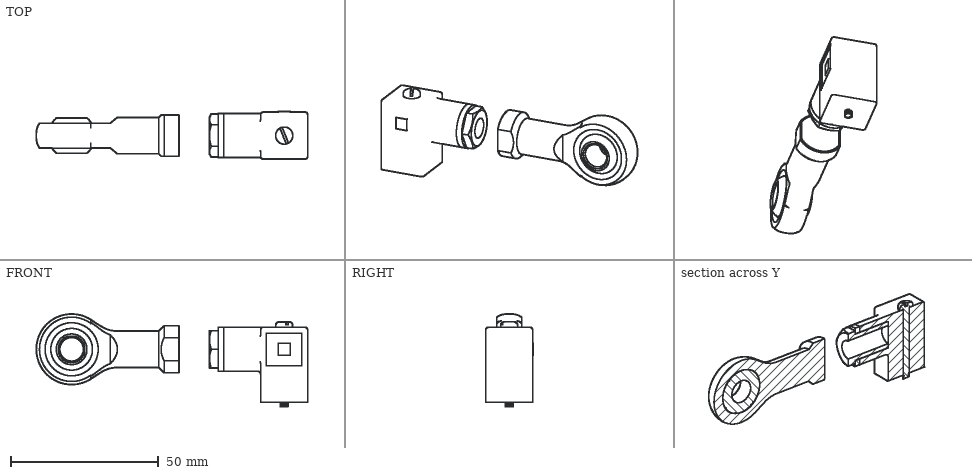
import cadquery as cq
import math

head_radius = 12.0
head_thickness = 8.5
head_band_width = 1.6
head_face_radius = 10.9
neck_radius = 6.2
neck_flare_radius = 10.0
flare_angle = 57.0
shank_flat_end = 13.1
shank_ramp_end = 15.5
collar_start = 29.5
collar_radius = 8.0
collar_across_flats = 14.0
rod_end_face = 36.5
end_chamfer_length = 0.5
end_chamfer_depth = 0.2

ball_radius = 7.94
ball_width = 12.0
ball_bore_radius = 4.0
ball_bore_chamfer = 0.5
dish_outer_radius = 9.0
dish_inner_radius = 7.07

box_left = 64.0
box_length = 16.0
box_width = 16.0
box_top = 7.5
box_bottom = -18.0
box_edge_radius = 1.0
entry_radius = 7.49
entry_blend_radius = 1.0
ring_start = 49.6
ring_length = 2.0
nut_length = 3.0
nut_across_flats = 12.7
nut_face_radius = 6.15
nut_chamfer_angle = 30.0
nut_sleeve_radius = 5.0
cable_bore_radius = 3.4

panel_length = 12.0
panel_height = 11.0
panel_depth = 0.4
window_size = 4.1
window_thickness = 2.0
window_protrusion = 0.2

screw_head_radius = 2.9
screw_rim_height = 0.5
screw_head_height = 1.8
screw_crown_radius = 1.9
slot_width = 0.8
slot_depth = 1.0
slot_angle = 112.0
screw_shank_radius = 1.3
screw_tip = -19.45
thread_pitch = 0.8
thread_depth = 0.25
thread_groove_width = 0.4
thread_length = 2.4

tolerance = 0.01

half_head = head_thickness / 2
half_band = head_band_width / 2
box_centre_x = box_left + box_length / 2
box_height = box_top - box_bottom
entry_start = ring_start + ring_length
nut_start = ring_start - nut_length
dish_depth = half_head - math.sqrt(ball_radius**2 - dish_inner_radius**2)


def x_cylinder(start, end, radius):
    """Cylinder along the X axis."""
    plane = cq.Plane(origin=(start, 0, 0), xDir=(0, 0, 1), normal=(1, 0, 0))
    return cq.Workplane(plane).circle(radius).extrude(end - start)


def head_disc():
    """Disc around Y whose rim is a middle band with a tangent arc down to each face."""
    drop = head_radius - head_face_radius
    run = half_head - half_band
    rim_radius = (run**2 + drop**2) / (2 * drop)
    half_turn = math.asin(run / rim_radius) / 2
    mid_r = head_radius - rim_radius * (1 - math.cos(half_turn))
    mid_y = half_band + rim_radius * math.sin(half_turn)
    profile = (
        cq.Workplane("XY")
        .moveTo(0, -half_head)
        .lineTo(head_face_radius, -half_head)
        .threePointArc((mid_r, -mid_y), (head_radius, -half_band))
        .lineTo(head_radius, half_band)
        .threePointArc((mid_r, mid_y), (head_face_radius, half_head))
        .lineTo(0, half_head)
        .close()
    )
    return profile.revolve(360, (0, 0, 0), (0, 1, 0))


def shank():
    """Neck, flare towards the head and end collar, revolved about X."""
    angle = math.radians(flare_angle)
    flare_start = (head_radius * math.cos(angle), head_radius * math.sin(angle))
    slope = (math.sin(angle), -math.cos(angle))
    centre_r = neck_radius + neck_flare_radius
    blend_r = centre_r - neck_flare_radius * math.sin(angle)
    flank = (flare_start[1] - blend_r) / -slope[1]
    blend_x = flare_start[0] + flank * slope[0]
    centre_x = blend_x + neck_flare_radius * math.cos(angle)
    middle = (math.pi / 2 + angle) / 2
    blend_middle = (
        centre_x - neck_flare_radius * math.cos(middle),
        centre_r - neck_flare_radius * math.sin(middle),
    )
    profile = (
        cq.Workplane("XZ")
        .moveTo(flare_start[0], 0)
        .lineTo(*flare_start)
        .lineTo(blend_x, blend_r)
        .threePointArc(blend_middle, (centre_x, neck_radius))
        .lineTo(collar_start, neck_radius)
        .lineTo(collar_start + collar_radius - neck_radius, collar_radius)
        .lineTo(rod_end_face, collar_radius)
        .lineTo(rod_end_face, 0)
        .close()
    )
    return profile.revolve(360, (0, 0, 0), (1, 0, 0))


def shank_envelope():
    """Plan outline that trims the flats of head, neck ramps and collar."""
    half_collar = collar_across_flats / 2
    upper = [
        (0, half_head),
        (shank_flat_end, half_head),
        (shank_ramp_end, neck_radius),
        (shank_ramp_end, half_collar),
        (rod_end_face, half_collar),
    ]
    lower = [(x, -y) for x, y in reversed(upper)]
    plan = cq.Workplane("XY").polyline(upper + lower).close()
    return plan.extrude(head_radius, both=True)


def dish(side):
    """Conical recess in one face of the head."""
    face = half_head * side
    floor = (half_head - dish_depth) * side
    profile = cq.Workplane("XY").polyline(
        [(0, face), (dish_outer_radius, face), (dish_inner_radius, floor), (0, floor)]
    ).close()
    return profile.revolve(360, (0, 0, 0), (0, 1, 0))


trimmed_shank = shank().intersect(shank_envelope())
trimmed_shank = trimmed_shank.faces(">X").chamfer(end_chamfer_depth, end_chamfer_length)
rod_end = head_disc().union(trimmed_shank)
for side in (-1, 1):
    rod_end = rod_end.cut(dish(side))
rod_end = rod_end.cut(cq.Workplane("XY").sphere(ball_radius))

half_ball = ball_width / 2
ball_flat_radius = math.sqrt(ball_radius**2 - half_ball**2)
ball = (
    cq.Workplane("XY")
    .moveTo(ball_bore_radius, -half_ball + ball_bore_chamfer)
    .lineTo(ball_bore_radius + ball_bore_chamfer, -half_ball)
    .lineTo(ball_flat_radius, -half_ball)
    .threePointArc((ball_radius, 0), (ball_flat_radius, half_ball))
    .lineTo(ball_bore_radius + ball_bore_chamfer, half_ball)
    .lineTo(ball_bore_radius, half_ball - ball_bore_chamfer)
    .close()
    .revolve(360, (0, 0, 0), (0, 1, 0))
)


def is_entry_corner(edge):
    """True for the edges where the cable entry runs into the box."""
    middle = edge.positionAt(0.5)
    on_entry = abs(math.hypot(middle.y, middle.z) - entry_radius) < tolerance
    return on_entry and box_left - tolerance < middle.x < box_left + box_edge_radius + tolerance


def screw_blank():
    """Screw as a revolved shape, without its slot."""
    crown_z = box_top + screw_head_height
    rim_z = box_top + screw_rim_height
    bulge = math.sqrt(0.5)
    dome_middle = (
        screw_crown_radius + (screw_head_radius - screw_crown_radius) * bulge,
        rim_z + (crown_z - rim_z) * bulge,
    )
    profile = (
        cq.Workplane("XZ", origin=(box_centre_x, 0, 0))
        .moveTo(0, screw_tip)
        .lineTo(screw_shank_radius, screw_tip)
        .lineTo(screw_shank_radius, box_top)
        .lineTo(screw_head_radius, box_top)
        .lineTo(screw_head_radius, rim_z)
        .threePointArc(dome_middle, (screw_crown_radius, crown_z))
        .lineTo(0, crown_z)
        .close()
    )
    return profile.revolve(360, (0, 0, 0), (0, 1, 0))


def window(outer_face, side):
    """Square window block whose outer face looks along Y towards the given side."""
    block = cq.Workplane("XZ", origin=(box_centre_x, outer_face, 0)).rect(window_size, window_size)
    return block.extrude(side * window_thickness)


panel_floor = -box_width / 2 + panel_depth
window_faces = [(panel_floor, -1), (box_width / 2 + window_protrusion, 1)]
windows = [window(face, side) for face, side in window_faces]

housing = (
    cq.Workplane("XY", origin=(box_centre_x, 0, box_bottom))
    .rect(box_length, box_width)
    .extrude(box_height)
    .edges("|Z or >Z")
    .fillet(box_edge_radius)
)
panel = (
    cq.Workplane("XZ", origin=(box_centre_x, panel_floor, 0))
    .rect(panel_length, panel_height)
    .extrude(panel_depth)
)
entry = x_cylinder(entry_start, box_left + box_edge_radius, entry_radius)
housing = housing.union(entry)
entry_corner = [edge for edge in housing.edges().vals() if is_entry_corner(edge)]
housing = housing.newObject(entry_corner).fillet(entry_blend_radius)
housing = housing.cut(x_cylinder(entry_start, box_left, nut_sleeve_radius))
housing = housing.cut(panel).cut(screw_blank())
for block in windows:
    housing = housing.cut(block)

def thread_groove():
    """Helical V groove of the screw tip, running out beyond the tip."""
    half_groove = thread_groove_width / 2
    helix = cq.Wire.makeHelix(thread_pitch, thread_length, screw_shank_radius)
    section = cq.Workplane("XZ").polyline(
        [
            (screw_shank_radius - thread_depth, 0),
            (screw_shank_radius + thread_depth / 2, -half_groove),
            (screw_shank_radius + thread_depth / 2, half_groove),
        ]
    ).close()
    groove = section.sweep(cq.Workplane(obj=helix), isFrenet=True)
    helix_bottom = box_bottom + half_groove - thread_length
    return groove.translate((box_centre_x, 0, helix_bottom))


slot = (
    cq.Workplane("XY", origin=(box_centre_x, 0, box_top + screw_head_height - slot_depth))
    .transformed(rotate=(0, 0, slot_angle))
    .rect(2 * screw_head_radius, slot_width)
    .extrude(slot_depth)
)
screw = screw_blank().cut(slot).cut(thread_groove())

gland_ring = x_cylinder(ring_start, entry_start, entry_radius)
gland_ring = gland_ring.cut(x_cylinder(ring_start, entry_start, nut_sleeve_radius))

nut_corner_radius = nut_across_flats / 2 / math.cos(math.pi / 6)
chamfer_length = (nut_corner_radius - nut_face_radius) * math.tan(math.radians(nut_chamfer_angle))
nut_envelope = (
    cq.Workplane("XY")
    .polyline(
        [
            (nut_start, 0),
            (nut_start, nut_face_radius),
            (nut_start + chamfer_length, nut_corner_radius),
            (ring_start, nut_corner_radius),
            (ring_start, 0),
        ]
    )
    .close()
    .revolve(360, (0, 0, 0), (1, 0, 0))
)
gland_nut = (
    cq.Workplane("YZ", origin=(nut_start, 0, 0))
    .polygon(6, 2 * nut_corner_radius)
    .extrude(nut_length)
    .intersect(nut_envelope)
    .union(x_cylinder(ring_start, box_left, nut_sleeve_radius))
    .cut(x_cylinder(nut_start, box_left, cable_bore_radius))
)

result = cq.Compound.makeCompound(
    [
        rod_end.val(),
        ball.val(),
        housing.val(),
        gland_ring.val(),
        gland_nut.val(),
        *[block.val() for block in windows],
        screw.val(),
    ]
)